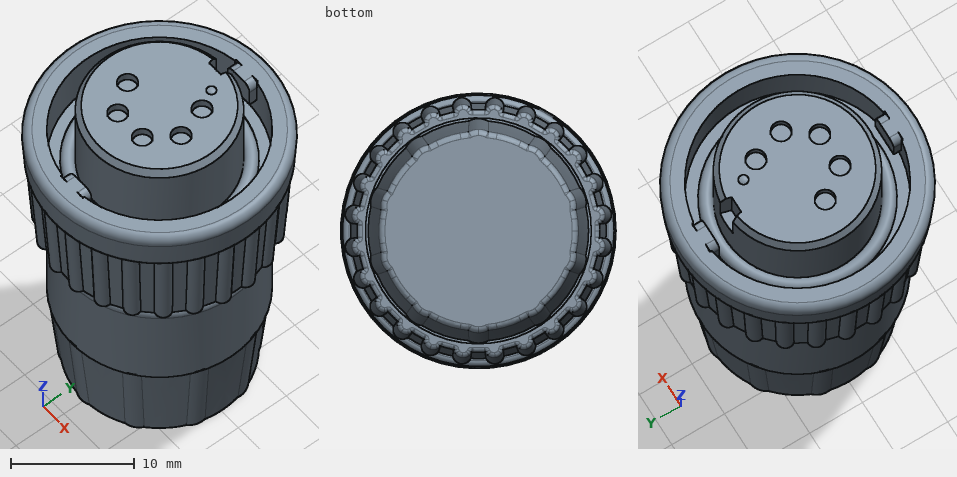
import cadquery as cq
import math

GRIP_TOP = 8.85
COLLAR_TOP = 17.75
RING_BOTTOM = 18.45
BAND_BOTTOM = 26.8
RING_TOP = 30.55
INSERT_TOP = 33.75
OVERALL_HEIGHT = 33.88
OVERLAP = 1.0

GRIP_TOP_RADIUS = 8.9
GRIP_BOTTOM_RADIUS = 8.01
GRIP_FILLET = 0.5
GRIP_RIB_COUNT = 10
GRIP_RIB_WIDTH = 1.6
GRIP_RIB_PROTRUSION = 0.16

COLLAR_RADIUS = 9.12
COLLAR_FILLET = 0.75
NECK_RADIUS = 7.8

RING_RADIUS = 11.115
RING_TAPER = math.tan(math.radians(3.7))
RING_EDGE_FILLET = 0.8
BAND_BOTTOM_FILLET = 0.5
SKIRT_TOP = BAND_BOTTOM + BAND_BOTTOM_FILLET
RING_BOTTOM_FILLET = 0.4
CAVITY_RADIUS = 9.1
CAVITY_FLOOR = 26.3

KNURL_COUNT = 24
KNURL_RADIUS = 0.78
KNURL_PROTRUSION = 0.5
KNURL_INSET = 0.11

KEY_WIDTH = 2.8
KEY_INNER = 8.25
KEY_OUTER = 9.13
KEY_HEIGHT = 2.45
KEY_FILLET = 0.72

INSERT_RADIUS = 6.8
INSERT_CHAMFER_WIDTH = 0.48
INSERT_CHAMFER_HEIGHT = 0.58
SEAL_OUTER_RADIUS = 8.04
NOTCH_INNER = 5.79
NOTCH_INNER_WIDTH = 1.45
NOTCH_OUTER_WIDTH = 2.0
NOTCH_DEPTH = 3.3
CONTACT_CIRCLE_RADIUS = 3.45
CONTACT_ANGLES = (45, -9, -63, -117, -171)
CONTACT_RADIUS = 0.86
CONTACT_DEPTH = 0.8
MARK_X = 1.49
MARK_Y = 4.2
MARK_RADIUS = 0.42


def ring_surface(height):
    """Radius of the tapered coupling band at a given height."""
    centre_offset = RING_EDGE_FILLET / math.cos(math.atan(RING_TAPER))
    centre_height = RING_TOP - RING_EDGE_FILLET
    centre_radius = RING_RADIUS - RING_EDGE_FILLET
    return centre_radius + centre_offset + RING_TAPER * (height - centre_height)


def knurl_root(height):
    """Radius of the ring between the knurling ribs at a given height."""
    return ring_surface(height) - KNURL_INSET - KNURL_PROTRUSION


def cylinder(radius, bottom, top):
    return cq.Workplane("XY").workplane(offset=bottom).circle(radius).extrude(top - bottom)


def revolve_profile(points):
    return cq.Workplane("XZ").polyline(points).close().revolve(360, (0, 0), (0, 1))


def on_circle(radius, angle):
    return (radius * math.cos(angle), radius * math.sin(angle))


def ribbed_cone(bottom_radius, top_radius, bottom, top, fillet, rib_radius, protrusion, count, first_angle):
    """Cone with round ribs that lean with its taper, rounded at the lower edge."""
    taper = (top_radius - bottom_radius) / (top - bottom)
    slant = math.hypot(1, taper)
    axis_start = bottom_radius + protrusion - rib_radius * slant - taper * OVERLAP
    rib = cq.Workplane(
        obj=cq.Solid.makeCylinder(
            rib_radius,
            (top - bottom + 2 * OVERLAP) * slant,
            cq.Vector(axis_start, 0, bottom - OVERLAP),
            cq.Vector(taper, 0, 1),
        )
    )
    slab = cylinder(bottom_radius + rib_radius + OVERLAP * 3, bottom, top)
    rib = rib.intersect(slab)
    body = revolve_profile([(0, bottom), (bottom_radius, bottom), (top_radius, top), (0, top)])
    angles = [first_angle + index * 360 / count for index in range(count)]
    ribs = [rib.val().rotate(cq.Vector(0, 0, 0), cq.Vector(0, 0, 1), angle) for angle in angles]
    body = cq.Workplane(obj=body.val().fuse(*ribs))
    return body.faces("<Z").edges().fillet(fillet)


def make_grip():
    """Ribbed grip; each rib stands on a chord of the mean grip circle."""
    half_width = GRIP_RIB_WIDTH / 2
    mean_radius = (GRIP_TOP_RADIUS + GRIP_BOTTOM_RADIUS) / 2
    base_sagitta = mean_radius - math.sqrt(mean_radius**2 - half_width**2)
    rib_rise = GRIP_RIB_PROTRUSION + base_sagitta
    rib_radius = (half_width**2 + rib_rise**2) / (2 * rib_rise)
    return ribbed_cone(
        GRIP_BOTTOM_RADIUS, GRIP_TOP_RADIUS, 0, GRIP_TOP, GRIP_FILLET,
        rib_radius, GRIP_RIB_PROTRUSION, GRIP_RIB_COUNT, -90,
    )


def make_collar():
    collar = cylinder(COLLAR_RADIUS, GRIP_TOP, COLLAR_TOP).faces(">Z").edges().fillet(COLLAR_FILLET)
    neck = cylinder(NECK_RADIUS, COLLAR_TOP - OVERLAP, RING_BOTTOM + OVERLAP)
    return collar.union(neck)


def make_ring():
    """Knurled skirt below a plain band, hollowed from above around the insert."""
    skirt = ribbed_cone(
        knurl_root(RING_BOTTOM), knurl_root(SKIRT_TOP), RING_BOTTOM, SKIRT_TOP, RING_BOTTOM_FILLET,
        KNURL_RADIUS, KNURL_PROTRUSION, KNURL_COUNT, 180 / KNURL_COUNT,
    )
    band = revolve_profile([
        (0, BAND_BOTTOM),
        (ring_surface(BAND_BOTTOM), BAND_BOTTOM),
        (ring_surface(RING_TOP), RING_TOP),
        (0, RING_TOP),
    ])
    band = band.faces(">Z").edges().fillet(RING_EDGE_FILLET)
    band = band.faces("<Z").edges().fillet(BAND_BOTTOM_FILLET)
    return skirt.union(band).cut(cylinder(CAVITY_RADIUS, CAVITY_FLOOR, RING_TOP + OVERLAP))


def key_block(inner, outer):
    return (
        cq.Workplane("XY")
        .workplane(offset=RING_TOP - KEY_HEIGHT)
        .center(0, (inner + outer) / 2)
        .rect(KEY_WIDTH, outer - inner)
        .extrude(KEY_HEIGHT)
    )


def add_keys(ring):
    """Two opposed keys, flush with the ring top, with rounded upper edges."""
    slot = key_block(KEY_INNER, KEY_OUTER)
    key = slot.edges("|Y and >Z").fillet(KEY_FILLET)
    for angle in (0, 180):
        ring = ring.cut(slot.rotate((0, 0, 0), (0, 0, 1), angle))
        ring = ring.union(key.rotate((0, 0, 0), (0, 0, 1), angle))
    return ring


def make_seal():
    section_radius = (SEAL_OUTER_RADIUS - INSERT_RADIUS) / 2
    section_centre = INSERT_RADIUS + section_radius
    return cq.Workplane("XZ").center(section_centre, CAVITY_FLOOR).circle(section_radius).revolve(
        360, (-section_centre, 0), (-section_centre, 1)
    )


def make_notch():
    return (
        cq.Workplane("XY")
        .workplane(offset=INSERT_TOP)
        .polyline([
            (-NOTCH_INNER_WIDTH / 2, NOTCH_INNER),
            (NOTCH_INNER_WIDTH / 2, NOTCH_INNER),
            (NOTCH_OUTER_WIDTH / 2, INSERT_RADIUS),
            (-NOTCH_OUTER_WIDTH / 2, INSERT_RADIUS),
        ])
        .close()
        .extrude(-NOTCH_DEPTH)
    )


def make_insert():
    insert = cylinder(INSERT_RADIUS, CAVITY_FLOOR - OVERLAP, INSERT_TOP)
    insert = insert.faces(">Z").edges().chamfer(INSERT_CHAMFER_HEIGHT, INSERT_CHAMFER_WIDTH)
    insert = insert.cut(make_notch())
    for angle in CONTACT_ANGLES:
        x, y = on_circle(CONTACT_CIRCLE_RADIUS, math.radians(angle))
        hole = cylinder(CONTACT_RADIUS, INSERT_TOP - CONTACT_DEPTH, INSERT_TOP)
        insert = insert.cut(hole.translate((x, y, 0)))
    return insert


def make_mark():
    """Low domed dot beside the first contact."""
    rise = OVERALL_HEIGHT - INSERT_TOP
    sphere_radius = (MARK_RADIUS**2 + rise**2) / (2 * rise)
    ball = cq.Workplane("XY").sphere(sphere_radius).translate((0, 0, OVERALL_HEIGHT - sphere_radius))
    core = cylinder(MARK_RADIUS, INSERT_TOP - rise, OVERALL_HEIGHT)
    return core.intersect(ball).translate((MARK_X, MARK_Y, 0))


result = (
    make_grip()
    .union(make_collar())
    .union(add_keys(make_ring()))
    .union(make_seal())
    .union(make_insert())
    .union(make_mark())
)